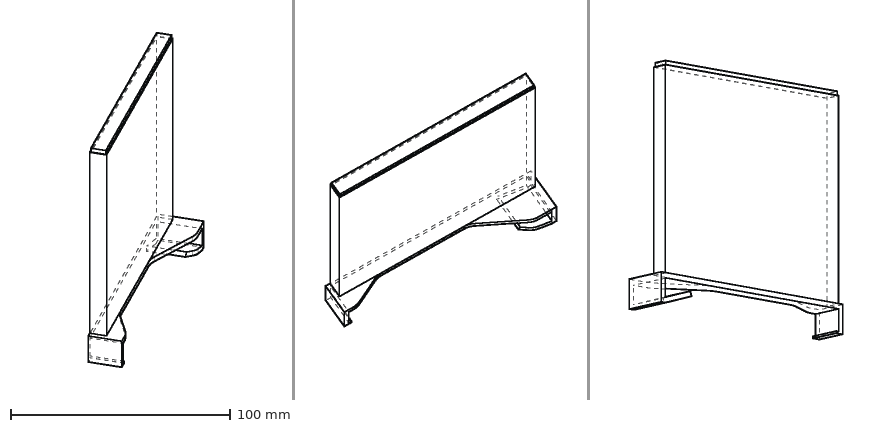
import cadquery as cq
import math

height = 113.0
bracket_length = 111.0
bracket_depth = 22.0

wall = 2.5
bracket_height = 14.0
front_clip_depth = 16.0
front_taper_start = 7.0
front_taper_end = 22.9
rear_taper_start = 12.3
rear_taper_end = 38.6
taper_blend_radius = 10.0
lip_length = 1.5
lip_thickness = 1.0
tongue_angle = math.radians(18)
tongue_reach = 18.5

panel_thickness = 8.0
panel_width = bracket_length - 2 * wall
rim_height = 2.0
rim_inset = 0.5


def make_side_profile():
    """Bracket section in the YZ plane, extruded over the full depth."""
    rear_inside = bracket_length - wall
    shelf_bottom = bracket_height - wall
    cos_t = math.cos(tongue_angle)
    sin_t = math.sin(tongue_angle)
    lower_start_y = rear_inside - (wall / cos_t - wall) / math.tan(tongue_angle)
    tip_low_y = bracket_length - tongue_reach
    tip_low_z = (lower_start_y - tip_low_y) * math.tan(tongue_angle)
    return (
        cq.Workplane("YZ")
        .moveTo(0, 0)
        .lineTo(wall + lip_length, 0)
        .lineTo(wall + lip_length, lip_thickness)
        .lineTo(wall, lip_thickness)
        .lineTo(wall, shelf_bottom)
        .lineTo(rear_inside, shelf_bottom)
        .lineTo(rear_inside, wall)
        .lineTo(tip_low_y + wall * sin_t, tip_low_z + wall * cos_t)
        .lineTo(tip_low_y, tip_low_z)
        .lineTo(lower_start_y, 0)
        .lineTo(bracket_length, 0)
        .lineTo(bracket_length, bracket_height)
        .lineTo(0, bracket_height)
        .close()
        .extrude(bracket_depth)
    )


def make_plan():
    """Bracket outline in the XY plane: two deep ends tapering to a slim middle."""
    plan = (
        cq.Workplane("XY")
        .polyline([
            (0, 0),
            (front_clip_depth, 0),
            (front_clip_depth, front_taper_start),
            (panel_thickness, front_taper_end),
            (panel_thickness, bracket_length - rear_taper_end),
            (bracket_depth, bracket_length - rear_taper_start),
            (bracket_depth, bracket_length),
            (0, bracket_length),
        ])
        .close()
        .extrude(bracket_height)
    )
    taper_edges = (
        plan.edges("|Z")
        .edges(cq.selectors.BoxSelector(
            (panel_thickness / 2, front_taper_start / 2, 0),
            (bracket_depth + wall, bracket_length - rear_taper_start / 2, bracket_height),
        ))
    )
    return taper_edges.fillet(taper_blend_radius)


def make_bracket():
    return make_side_profile().intersect(make_plan())


def make_panel():
    """Flat panel with a rim set in slightly on all four sides of its top."""
    shoulder_height = height - bracket_height - rim_height
    slab = (
        cq.Workplane("XY")
        .box(panel_thickness, panel_width, shoulder_height, centered=False)
    )
    rim = (
        cq.Workplane("XY")
        .box(panel_thickness - 2 * rim_inset, panel_width - 2 * rim_inset, rim_height, centered=False)
        .translate((rim_inset, rim_inset, shoulder_height))
    )
    return slab.union(rim).translate((0, wall, bracket_height))


bracket = make_bracket()
panel = make_panel()
result = cq.Compound.makeCompound([bracket.solids().val(), panel.solids().val()])